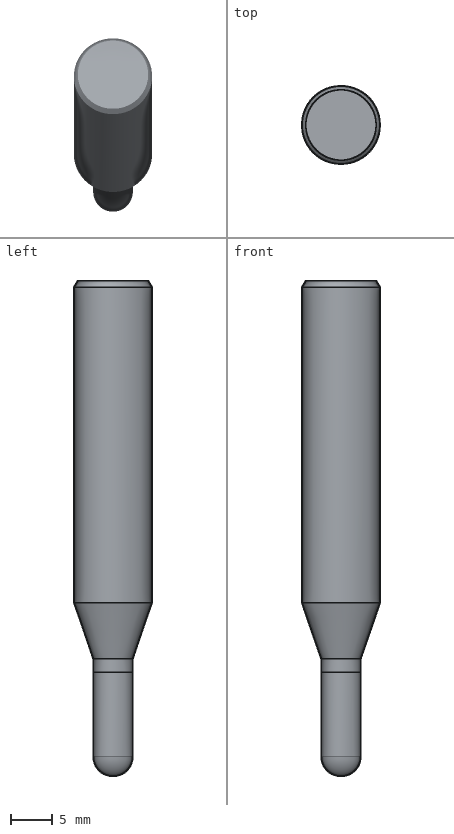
import cadquery as cq

total_length = 60.3
shank_diameter = 9.5
cutter_diameter = 4.8
cutter_length = 12.65
neck_top = 14.3
taper_top = 21.1
chamfer_height = 0.8
chamfer_width = 0.5

shank_radius = shank_diameter / 2
cutter_radius = cutter_diameter / 2


def make_shank():
    """Chamfered cylindrical shank that tapers down to a short neck."""
    profile = (
        cq.Workplane("XZ")
        .moveTo(0, cutter_length)
        .lineTo(cutter_radius, cutter_length)
        .lineTo(cutter_radius, neck_top)
        .lineTo(shank_radius, taper_top)
        .lineTo(shank_radius, total_length - chamfer_height)
        .lineTo(shank_radius - chamfer_width, total_length)
        .lineTo(0, total_length)
        .close()
    )
    return profile.revolve(360, (0, 0), (0, 1))


def make_cutter():
    """Straight cylindrical cutter with a hemispherical tip."""
    cylinder = (
        cq.Workplane("XY")
        .workplane(offset=cutter_radius)
        .circle(cutter_radius)
        .extrude(cutter_length - cutter_radius)
    )
    ball = cq.Workplane("XY").sphere(cutter_radius).translate((0, 0, cutter_radius))
    return cylinder.union(ball)


shank = make_shank()
cutter = make_cutter()

result = cq.Compound.makeCompound([shank.val(), cutter.val()])